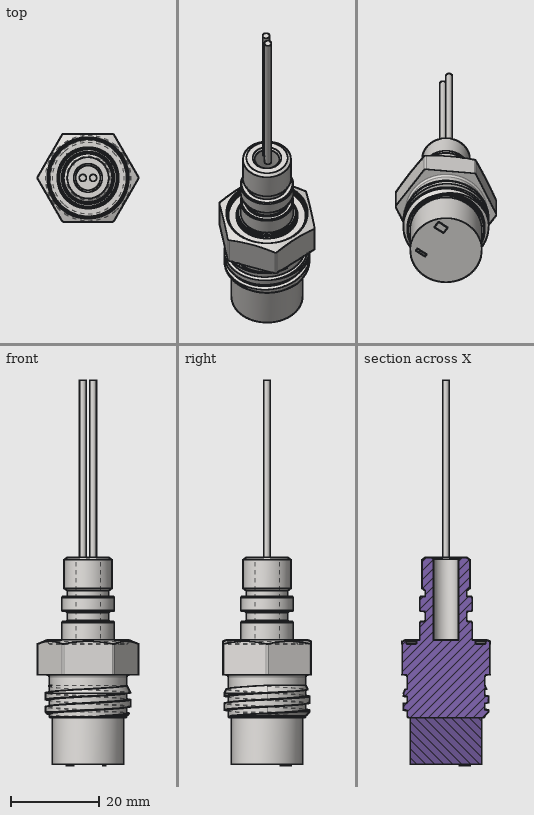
import cadquery as cq
import math

OVERALL_HEIGHT = 87.1
WIRE_LENGTH = 40.05
BARREL_BOTTOM = 0.3
SHOULDER = 10.8
THREAD_TOP = 18.1
HEX_BOTTOM = 20.5
HEX_TOP = 28.4
CAP_TOP = OVERALL_HEIGHT - WIRE_LENGTH

EDGE_BREAK = 0.3

WIRE_DIAMETER = 1.6
WIRE_SPACING = 2.35

BARREL_RADIUS = 8.1
PAD_LENGTH = 2.5
PAD_CENTER_Y = 4.3
PADS = [(-4.1, 1.65), (3.7, 0.6)]

STEM_RADIUS = 11.9 / 2
NECK_RADIUS = 9.4 / 2
LOWER_COLLAR_TOP = 32.6
UPPER_COLLAR_BOTTOM = 34.8
UPPER_COLLAR_TOP = 38.2
CAP_RADIUS = 10.9 / 2
CAP_CHAMFER_RADIAL = CAP_RADIUS - 9.3 / 2
CAP_CHAMFER_AXIAL = 0.5
CAP_BOTTOM = 39.5

BORE_RADIUS = 5.6 / 2
BORE_CHAMFER = 0.4
BORE_BOTTOM = HEX_TOP

ACROSS_FLATS = 19.9
ACROSS_CORNERS = ACROSS_FLATS / math.cos(math.pi / 6)
HEX_CORNER_FILLET = 0.5
HEX_CHAMFER_DEPTH = 1.0
GROOVE_OUTER_RADIUS = 9.0
GROOVE_INNER_RADIUS = 6.7
GROOVE_DEPTH = 1.0

ROOT_RADIUS = 8.8
CREST_RADIUS = 9.7
PITCH = 3.1
CREST_WIDTH = 1.5
RIDGE_BASE_WIDTH = 1.8
RIDGE_OVERLAP = 0.2
HELIX_START = 7.8
HELIX_TURNS = 4
RUN_IN_GAP = 0.4
RUN_IN_LENGTH = 0.9
RUN_OUT_LENGTH = 1.7
UNDERCUT_FILLET = 0.4


def revolve_profile(points):
    """Revolve an outline of (radius, height) points about the Z axis."""
    return cq.Workplane("XZ").polyline(points).close().revolve(360, (0, 0, 0), (0, 1, 0))


def cylinder(radius, bottom, top):
    return cq.Workplane("XY").workplane(offset=bottom).circle(radius).extrude(top - bottom)


def make_stem():
    beveled_radius = STEM_RADIUS - EDGE_BREAK
    flared_neck = NECK_RADIUS + EDGE_BREAK
    groove_bottom = LOWER_COLLAR_TOP + EDGE_BREAK
    groove_top = UPPER_COLLAR_BOTTOM - EDGE_BREAK
    cap_top_radius = CAP_RADIUS - CAP_CHAMFER_RADIAL
    return revolve_profile([
        (0, HEX_BOTTOM),
        (STEM_RADIUS, HEX_BOTTOM),
        (STEM_RADIUS, LOWER_COLLAR_TOP - EDGE_BREAK),
        (beveled_radius, LOWER_COLLAR_TOP),
        (flared_neck, LOWER_COLLAR_TOP),
        (NECK_RADIUS, groove_bottom),
        (NECK_RADIUS, groove_top),
        (flared_neck, UPPER_COLLAR_BOTTOM),
        (beveled_radius, UPPER_COLLAR_BOTTOM),
        (STEM_RADIUS, UPPER_COLLAR_BOTTOM + EDGE_BREAK),
        (STEM_RADIUS, UPPER_COLLAR_TOP - EDGE_BREAK),
        (beveled_radius, UPPER_COLLAR_TOP),
        (NECK_RADIUS, UPPER_COLLAR_TOP),
        (NECK_RADIUS, CAP_BOTTOM),
        (CAP_RADIUS, CAP_BOTTOM + CAP_CHAMFER_AXIAL),
        (CAP_RADIUS, CAP_TOP - CAP_CHAMFER_AXIAL),
        (cap_top_radius, CAP_TOP),
        (0, CAP_TOP),
    ])


def make_bore():
    return revolve_profile([
        (0, BORE_BOTTOM),
        (BORE_RADIUS, BORE_BOTTOM),
        (BORE_RADIUS, CAP_TOP - BORE_CHAMFER),
        (BORE_RADIUS + BORE_CHAMFER, CAP_TOP),
        (0, CAP_TOP),
    ])


def make_hexagon():
    hexagon = (
        cq.Workplane("XY")
        .workplane(offset=HEX_BOTTOM)
        .polygon(6, ACROSS_CORNERS)
        .extrude(HEX_TOP - HEX_BOTTOM)
        .edges("|Z")
        .fillet(HEX_CORNER_FILLET)
    )
    corner_radius = ACROSS_CORNERS / 2
    rounded_top = revolve_profile([
        (0, HEX_BOTTOM),
        (corner_radius, HEX_BOTTOM),
        (corner_radius, HEX_TOP - HEX_CHAMFER_DEPTH),
        (GROOVE_OUTER_RADIUS + EDGE_BREAK, HEX_TOP),
        (0, HEX_TOP),
    ])
    return hexagon.intersect(rounded_top)


def make_face_groove():
    floor = HEX_TOP - GROOVE_DEPTH
    return revolve_profile([
        (GROOVE_INNER_RADIUS + EDGE_BREAK, floor),
        (GROOVE_OUTER_RADIUS - EDGE_BREAK, floor),
        (GROOVE_OUTER_RADIUS, floor + EDGE_BREAK),
        (GROOVE_OUTER_RADIUS, HEX_TOP - EDGE_BREAK),
        (GROOVE_OUTER_RADIUS + EDGE_BREAK, HEX_TOP),
        (GROOVE_INNER_RADIUS - EDGE_BREAK, HEX_TOP),
        (GROOVE_INNER_RADIUS, HEX_TOP - EDGE_BREAK),
        (GROOVE_INNER_RADIUS, floor + EDGE_BREAK),
    ])


def make_thread_core():
    """Plain threaded shank, beveled at the shoulder and flared under the hexagon."""
    fillet_center = (ROOT_RADIUS + UNDERCUT_FILLET, HEX_BOTTOM - UNDERCUT_FILLET)
    fillet_reach = UNDERCUT_FILLET * math.sqrt(0.5)
    return (
        cq.Workplane("XZ")
        .moveTo(0, SHOULDER)
        .lineTo(ROOT_RADIUS - EDGE_BREAK, SHOULDER)
        .lineTo(ROOT_RADIUS, SHOULDER + EDGE_BREAK)
        .lineTo(ROOT_RADIUS, fillet_center[1])
        .threePointArc(
            (fillet_center[0] - fillet_reach, fillet_center[1] + fillet_reach),
            (fillet_center[0], HEX_BOTTOM),
        )
        .lineTo(0, HEX_BOTTOM)
        .close()
        .revolve(360, (0, 0, 0), (0, 1, 0))
    )


def run_in_height(radius):
    """Height at a given radius of the cone that trims the ridge at the shoulder end."""
    slope = RUN_IN_LENGTH / (CREST_RADIUS - ROOT_RADIUS)
    return SHOULDER + RUN_IN_GAP + slope * (radius - ROOT_RADIUS)


def run_out_height(radius):
    """Height at a given radius of the cone that trims the ridge at the hexagon end."""
    slope = RUN_OUT_LENGTH / (CREST_RADIUS - ROOT_RADIUS)
    return THREAD_TOP - slope * (radius - ROOT_RADIUS)


def make_thread_ridge():
    """Right-hand helical ridge, faded out by a cone at each end."""
    base_radius = ROOT_RADIUS - RIDGE_OVERLAP
    helix = cq.Wire.makeHelix(PITCH, PITCH * HELIX_TURNS, base_radius)
    path = cq.Workplane("XY").newObject([helix.translate(cq.Vector(0, 0, HELIX_START))])
    ridge = (
        cq.Workplane("XZ")
        .polyline([
            (base_radius, HELIX_START - RIDGE_BASE_WIDTH / 2),
            (CREST_RADIUS, HELIX_START - CREST_WIDTH / 2),
            (CREST_RADIUS, HELIX_START + CREST_WIDTH / 2),
            (base_radius, HELIX_START + RIDGE_BASE_WIDTH / 2),
        ])
        .close()
        .sweep(path, isFrenet=True)
    )
    trim_inner = ROOT_RADIUS - 2 * RIDGE_OVERLAP
    trim_outer = CREST_RADIUS + 2 * RIDGE_OVERLAP
    envelope = revolve_profile([
        (trim_inner, run_in_height(trim_inner)),
        (trim_outer, run_in_height(trim_outer)),
        (trim_outer, run_out_height(trim_outer)),
        (trim_inner, run_out_height(trim_inner)),
    ])
    return ridge.intersect(envelope)


def make_housing():
    return (
        make_hexagon()
        .cut(make_face_groove())
        .union(make_stem())
        .cut(make_bore())
        .union(make_thread_core())
        .union(make_thread_ridge())
    )


def make_barrel():
    barrel = cylinder(BARREL_RADIUS, BARREL_BOTTOM, SHOULDER)
    for center_x, width in PADS:
        pad = (
            cq.Workplane("XY")
            .center(center_x, PAD_CENTER_Y)
            .rect(width, PAD_LENGTH)
            .extrude(BARREL_BOTTOM)
        )
        barrel = barrel.union(pad)
    return barrel


def make_wire(center_x):
    return cylinder(WIRE_DIAMETER / 2, CAP_TOP, OVERALL_HEIGHT).translate((center_x, 0, 0))


housing = make_housing()
barrel = make_barrel()
wires = [make_wire(side * WIRE_SPACING / 2) for side in (-1, 1)]

result = cq.Compound.makeCompound([
    housing.val(),
    barrel.val(),
    *[wire.val() for wire in wires],
])